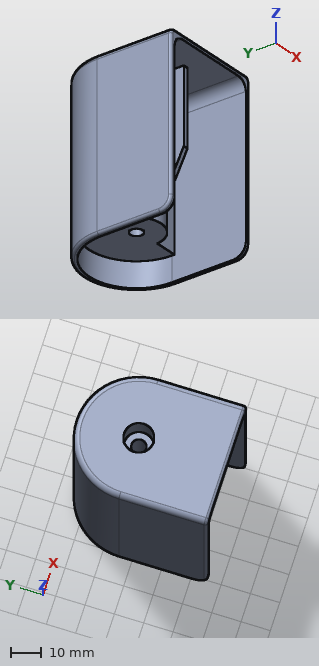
import cadquery as cq

width = 42.4
height = 67.0
wall = 2.0
front_y = -30.0
outer_radius = width / 2
inner_radius = outer_radius - wall
ceiling_z = height - wall

top_fillet = 2.0
rim_fillet = 1.0
lower_corner_radius = 5.0
ceiling_corner_radius = 4.0

block_bottom_z = 10.0
block_face_y = -1.0
post_radius = 10.0

rib_width = 2.0
rib_front_y = -20.0
rib_toe_y = -15.0
rib_bottom_z = 25.0
rib_slope_top_z = 35.0

screw_diameter = 5.0
counterbore_diameter = 10.0
counterbore_depth = 10.0

overlap = 1.0
embedded_radius = inner_radius + overlap
embedded_top_z = ceiling_z + overlap


def round_backed_prism(radius, front, prism_height):
    """Upright prism with straight sides and a half-round back."""
    return (
        cq.Workplane("XY")
        .moveTo(-radius, front)
        .lineTo(radius, front)
        .lineTo(radius, 0)
        .threePointArc((0, radius), (-radius, 0))
        .close()
        .extrude(prism_height)
    )


def outer_body():
    """Solid outer form with all of its outside edges rounded."""
    body = round_backed_prism(outer_radius, front_y, height)
    body = body.faces("<Y").edges("<Z").fillet(lower_corner_radius)
    top_edges = body.faces(">Z").edges("not <Y")
    body = body.newObject(top_edges.vals()).fillet(top_fillet)
    body = body.faces("<Y").edges("not <Z").fillet(rim_fillet)
    return body


def cavity():
    space = round_backed_prism(inner_radius, front_y - overlap, ceiling_z)
    straight_top_edges = space.faces(">Z").edges("|Y")
    return space.newObject(straight_top_edges.vals()).fillet(ceiling_corner_radius)


def back_block():
    """Solid fill behind the flat face, raised above the open bottom."""
    envelope = round_backed_prism(embedded_radius, block_face_y, embedded_top_z)
    below = cq.Workplane("XY").circle(width).extrude(block_bottom_z)
    return envelope.cut(below)


def screw_post():
    return (
        cq.Workplane("XY", origin=(0, 0, block_bottom_z))
        .circle(post_radius)
        .extrude(embedded_top_z - block_bottom_z)
    )


def support_rib():
    return (
        cq.Workplane("YZ")
        .moveTo(block_face_y, rib_bottom_z)
        .lineTo(rib_toe_y, rib_bottom_z)
        .lineTo(rib_front_y, rib_slope_top_z)
        .lineTo(rib_front_y, embedded_top_z)
        .lineTo(block_face_y, embedded_top_z)
        .close()
        .extrude(rib_width / 2, both=True)
    )


def add_screw_hole(body):
    return (
        body.faces(">Z")
        .workplane(origin=(0, 0, height))
        .cboreHole(screw_diameter, counterbore_diameter, counterbore_depth)
    )


shell = outer_body().cut(cavity())
housing = shell.union(back_block()).union(screw_post()).union(support_rib())
result = add_screw_hole(housing)